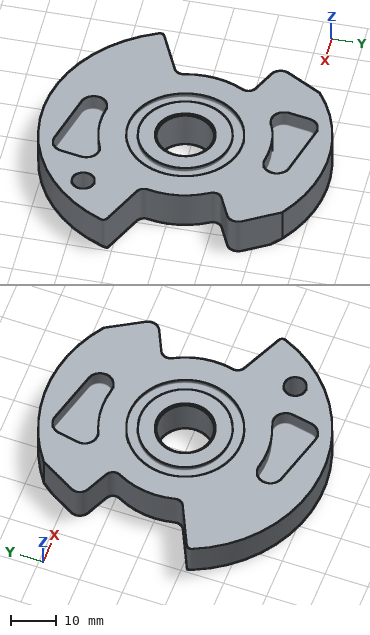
import cadquery as cq
import math

outer_radius = 32.2
thickness = 9.1
bottom_chamfer = 1.0
hub_radius = 18.95
cut_reach = 2 * outer_radius

notch_angle = 25.0
upper_side_offset = 3.8
lower_side_offset = 2.5
flank_angle = 60.0
flank_start_x = 19.05
upper_tip_fillet = 2.5
lower_tip_fillet = 1.0
root_fillet = 2.0

bore_diameter = 12.6
bore_chamfer = 0.3
groove_inner_diameter = 20.8
groove_outer_diameter = 25.8
groove_depth = 1.15
floor_fillet = 0.25

hole_diameter = 5.0
hole_offset = 18.75

pocket_depth = 4.0
pocket_corner_radius = 2.95
pocket_pitch_radius = 22.0
pocket_left_angle = 113.0
pocket_right_angle = 78.0
pocket_outer_corner = (-7.7, 24.9)


def polar(radius, degrees):
    angle = math.radians(degrees)
    return (radius * math.cos(angle), radius * math.sin(angle))


def notch():
    """Right-hand notch, including the straight flank, with a concave hub side."""
    slope = math.tan(math.radians(notch_angle))
    flank_slope = math.tan(math.radians(flank_angle))
    flank_start_y = math.sqrt(outer_radius**2 - flank_start_x**2)
    tip_x = (flank_start_y + flank_slope * flank_start_x - upper_side_offset) / (slope + flank_slope)
    tip_y = upper_side_offset + slope * tip_x
    flank_end_x = flank_start_x - (cut_reach - flank_start_y) / flank_slope
    wedge = (
        cq.Workplane("XY")
        .polyline([
            (0, upper_side_offset),
            (tip_x, tip_y),
            (flank_end_x, cut_reach),
            (cut_reach, cut_reach),
            (cut_reach, lower_side_offset - slope * cut_reach),
            (0, lower_side_offset),
        ])
        .close()
        .extrude(thickness)
    )
    return wedge.cut(cq.Workplane("XY").circle(hub_radius).extrude(thickness))


def fillet_corners(body, radius, y_low, y_high, x_min):
    """Round the vertical edges in a band of Y that lie beyond x_min on either side."""
    def in_band(edge):
        center = edge.Center()
        return abs(center.x) > x_min and y_low < center.y < y_high

    edges = [edge for edge in body.edges("|Z").vals() if in_band(edge)]
    return body.newObject(edges).fillet(radius)


def plate():
    right_notch = notch()
    body = cq.Workplane("XY").circle(outer_radius).extrude(thickness)
    body = body.cut(right_notch).cut(right_notch.mirror("YZ"))
    notch_middle_y = (upper_side_offset + lower_side_offset) / 2
    body = fillet_corners(body, upper_tip_fillet, notch_middle_y, hub_radius, hub_radius)
    body = fillet_corners(body, lower_tip_fillet, -hub_radius, notch_middle_y, hub_radius)
    body = fillet_corners(body, root_fillet, -hub_radius, hub_radius, hub_radius / 2)
    chamfered_disc = (
        cq.Workplane("XY").circle(outer_radius).extrude(thickness).faces("<Z").chamfer(bottom_chamfer)
    )
    return body.intersect(chamfered_disc)


def corner_tangent(start, end):
    """Outer tangent of two pocket corners, going clockwise; also its normal angle."""
    normal = math.degrees(math.atan2(end[1] - start[1], end[0] - start[0])) + 90
    dx, dy = polar(pocket_corner_radius, normal)
    return (start[0] + dx, start[1] + dy), (end[0] + dx, end[1] + dy), normal


def corner_point(center, degrees):
    dx, dy = polar(pocket_corner_radius, degrees)
    return (center[0] + dx, center[1] + dy)


def pocket():
    """Rounded three-corner pocket whose inner side is an arc about the bore axis."""
    left = polar(pocket_pitch_radius, pocket_left_angle)
    right = polar(pocket_pitch_radius, pocket_right_angle)
    outer = pocket_outer_corner
    inner_radius = pocket_pitch_radius - pocket_corner_radius
    middle_angle = (pocket_left_angle + pocket_right_angle) / 2
    side_start, side_end, side_normal = corner_tangent(left, outer)
    top_start, top_end, top_normal = corner_tangent(outer, right)
    right_middle = (top_normal + pocket_right_angle - 180) / 2
    left_middle = (side_normal + pocket_left_angle + 180) / 2
    return (
        cq.Workplane("XY", origin=(0, 0, thickness - pocket_depth))
        .moveTo(*side_start)
        .lineTo(*side_end)
        .threePointArc(corner_point(outer, (side_normal + top_normal) / 2), top_start)
        .lineTo(*top_end)
        .threePointArc(corner_point(right, right_middle), polar(inner_radius, pocket_right_angle))
        .threePointArc(polar(inner_radius, middle_angle), polar(inner_radius, pocket_left_angle))
        .threePointArc(corner_point(left, left_middle), side_start)
        .close()
        .extrude(pocket_depth)
        .faces("<Z")
        .edges()
        .fillet(floor_fillet)
    )


def groove():
    return (
        cq.Workplane("XY", origin=(0, 0, thickness - groove_depth))
        .circle(groove_outer_diameter / 2)
        .circle(groove_inner_diameter / 2)
        .extrude(groove_depth)
        .faces("<Z")
        .edges()
        .fillet(floor_fillet)
    )


def bore():
    straight = cq.Workplane("XY").circle(bore_diameter / 2).extrude(thickness)
    countersink = (
        cq.Workplane("XY", origin=(0, 0, thickness))
        .circle(bore_diameter / 2 + bore_chamfer)
        .extrude(-bore_chamfer, taper=45)
    )
    return straight.union(countersink)


hole = cq.Workplane("XY").center(hole_offset, -hole_offset).circle(hole_diameter / 2).extrude(thickness)

result = plate().cut(groove()).cut(bore()).cut(hole)
for turn in (0, 180):
    result = result.cut(pocket().rotate((0, 0, 0), (0, 0, 1), turn))